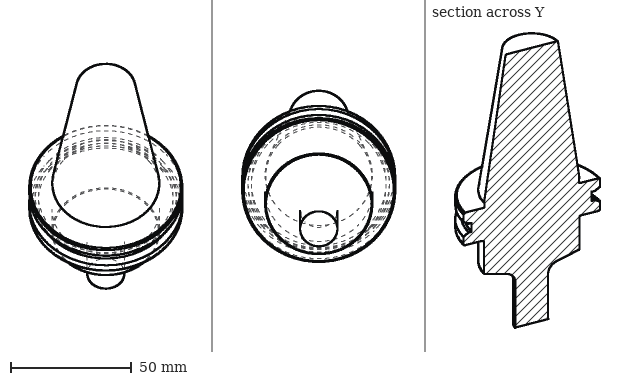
import cadquery as cq
import math

total_length = 133.2

shank_radius = 15.5 / 2
shank_top = 22.0

body_radius = 44.5 / 2
body_edge_chamfer = 0.4
shoulder_angle = math.radians(15)
shoulder_fillet = 5.0

flange_radius = 63.5 / 2
flange_bottom = 46.0
flange_height = 16.0
flange_chamfer = 0.7
neck_fillet = 0.5
body_fillet = 0.7
groove_radius = 56.0 / 2
groove_floor_width = 4.1
groove_lip_radius = 58.6 / 2
groove_angle = math.radians(30)

neck_radius = 44.0 / 2
taper_bottom = 64.5
taper_radius = 44.5 / 2
taper_edge_height = 0.9
taper_slope = 7 / 24 / 2
tip_fillet = 1.0

blend_radius = shank_radius + shoulder_fillet * (1 - math.sin(shoulder_angle))
blend_top = shank_top + shoulder_fillet * math.cos(shoulder_angle)
blend_mid_angle = (math.pi / 2 - shoulder_angle) / 2
blend_mid = (
    shank_radius + shoulder_fillet * (1 - math.cos(blend_mid_angle)),
    shank_top + shoulder_fillet * math.sin(blend_mid_angle),
)
body_edge_radius = body_radius - body_edge_chamfer
shoulder_top = blend_top + (body_edge_radius - blend_radius) * math.tan(shoulder_angle)
flange_top = flange_bottom + flange_height
groove_middle = flange_bottom + flange_height / 2
tip_radius = taper_radius - (total_length - taper_bottom) * taper_slope


def half_profile():
    """Closed outline in radius and height, from the axis outwards."""
    return (
        cq.Workplane("XZ")
        .moveTo(0, 0)
        .lineTo(shank_radius, 0)
        .lineTo(shank_radius, shank_top)
        .threePointArc(blend_mid, (blend_radius, blend_top))
        .lineTo(body_edge_radius, shoulder_top)
        .lineTo(body_radius, shoulder_top + body_edge_chamfer)
        .lineTo(body_radius, flange_bottom - body_fillet)
        .radiusArc((body_radius + body_fillet, flange_bottom), body_fillet)
        .lineTo(flange_radius - flange_chamfer, flange_bottom)
        .lineTo(flange_radius, flange_bottom + flange_chamfer)
        .lineTo(flange_radius, flange_top - flange_chamfer)
        .lineTo(flange_radius - flange_chamfer, flange_top)
        .lineTo(neck_radius + neck_fillet, flange_top)
        .radiusArc((neck_radius, flange_top + neck_fillet), neck_fillet)
        .lineTo(neck_radius, taper_bottom - taper_edge_height)
        .lineTo(taper_radius, taper_bottom)
        .lineTo(tip_radius, total_length)
        .lineTo(0, total_length)
        .close()
    )


def gripper_groove():
    """Ring that cuts the flared groove around the flange."""
    floor_half = groove_floor_width / 2
    mouth_half = floor_half + (flange_radius - groove_lip_radius) * math.tan(groove_angle)
    return (
        cq.Workplane("XZ")
        .moveTo(groove_radius, groove_middle - floor_half)
        .lineTo(groove_lip_radius, groove_middle - floor_half)
        .lineTo(flange_radius, groove_middle - mouth_half)
        .lineTo(flange_radius, groove_middle + mouth_half)
        .lineTo(groove_lip_radius, groove_middle + floor_half)
        .lineTo(groove_radius, groove_middle + floor_half)
        .close()
        .revolve(360, (0, 0, 0), (0, 1, 0))
    )


result = half_profile().revolve(360, (0, 0, 0), (0, 1, 0))
result = result.faces(">Z").edges().fillet(tip_fillet)
result = result.cut(gripper_groove())
result = result.translate((0, 0, -total_length / 2))